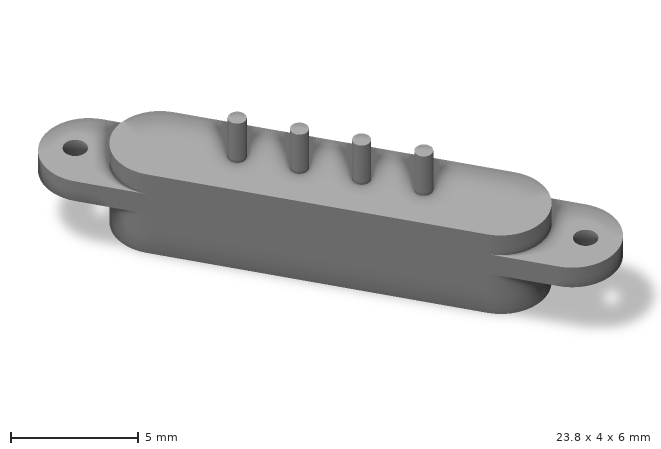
import cadquery as cq

WIDTH = 4.0
FLANGE_LENGTH = 23.75
BODY_LENGTH = 17.92
BODY_HEIGHT = 4.0
FLANGE_BOTTOM = 2.0
FLANGE_THICKNESS = 1.0
HOLE_DIAMETER = 1.0
HOLE_SPACING = 20.85
PIN_COUNT = 4
PIN_DIAMETER = 0.75
PIN_PITCH = 2.54
PIN_PROJECTION = 2.0


def stadium(length, bottom, height):
    """Round-ended slab as wide as the part, centred on the Z axis."""
    return cq.Workplane("XY").workplane(offset=bottom).slot2D(length, WIDTH).extrude(height)


def mounting_holes():
    """Cutters for the hole in each end of the flange."""
    return (
        cq.Workplane("XY")
        .workplane(offset=FLANGE_BOTTOM)
        .rarray(HOLE_SPACING, 1, 2, 1)
        .circle(HOLE_DIAMETER / 2)
        .extrude(FLANGE_THICKNESS)
    )


def contact_pins():
    """Row of contact pins standing on the top of the body."""
    return (
        cq.Workplane("XY")
        .workplane(offset=BODY_HEIGHT)
        .rarray(PIN_PITCH, 1, PIN_COUNT, 1)
        .circle(PIN_DIAMETER / 2)
        .extrude(PIN_PROJECTION)
    )


body = stadium(BODY_LENGTH, 0, BODY_HEIGHT)
flange = stadium(FLANGE_LENGTH, FLANGE_BOTTOM, FLANGE_THICKNESS).cut(mounting_holes())

result = body.union(flange).union(contact_pins())